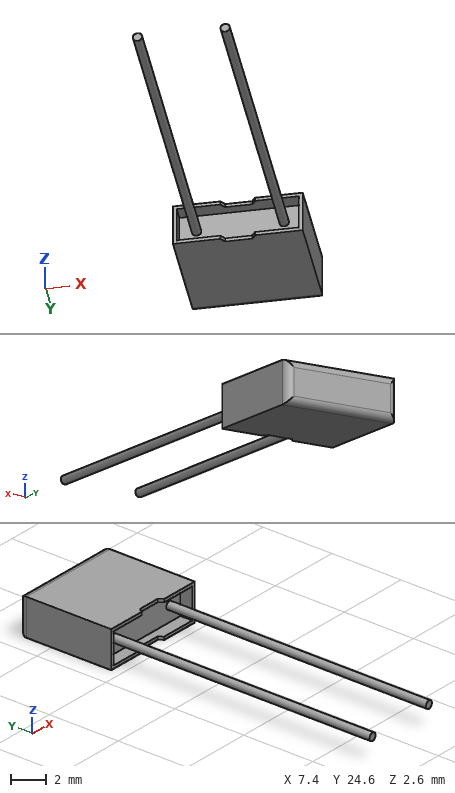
import cadquery as cq

total_length = 24.6
case_width = 7.4
case_length = 6.65
case_height = 2.6
wall = 0.22
end_rounding = 0.47

notch_mouth_width = 2.0
notch_floor_width = 1.55
notch_depth = 0.3

fill_recess = 0.85
lead_pitch = 5.0
lead_diameter = 0.55
lead_overhang = total_length - case_length

cavity_width = case_width - 2 * wall
cavity_height = case_height - 2 * wall
cavity_length = case_length - wall


def block_along_y(width, height, y_start, y_end):
    """Box centred on X and Z, spanning y_start to y_end."""
    return cq.Workplane("XY").box(width, y_end - y_start, height).translate((0, (y_start + y_end) / 2, 0))


def make_case():
    """Thin-walled box, closed and rounded at +Y, open and notched at -Y."""
    shell = block_along_y(case_width, case_height, 0, case_length)
    shell = shell.faces(">Y").edges().fillet(end_rounding)
    shell = shell.cut(block_along_y(cavity_width, cavity_height, 0, cavity_length))
    notch = (
        cq.Workplane("XY")
        .moveTo(-notch_mouth_width / 2, 0)
        .lineTo(-notch_floor_width / 2, notch_depth)
        .lineTo(notch_floor_width / 2, notch_depth)
        .lineTo(notch_mouth_width / 2, 0)
        .close()
        .extrude(case_height / 2, both=True)
    )
    return shell.cut(notch)


def make_fill():
    """Potting that fills the cavity up to its recessed face."""
    return block_along_y(cavity_width, cavity_height, fill_recess, cavity_length)


def make_lead(x):
    """Straight round wire standing on the recessed face of the fill."""
    return (
        cq.Workplane("XZ", origin=(x, fill_recess, 0))
        .circle(lead_diameter / 2)
        .extrude(fill_recess + lead_overhang)
    )


case = make_case()
fill = make_fill()
leads = [make_lead(side * lead_pitch / 2) for side in (-1, 1)]

result = cq.Compound.makeCompound([case.val(), fill.val(), *[lead.val() for lead in leads]])